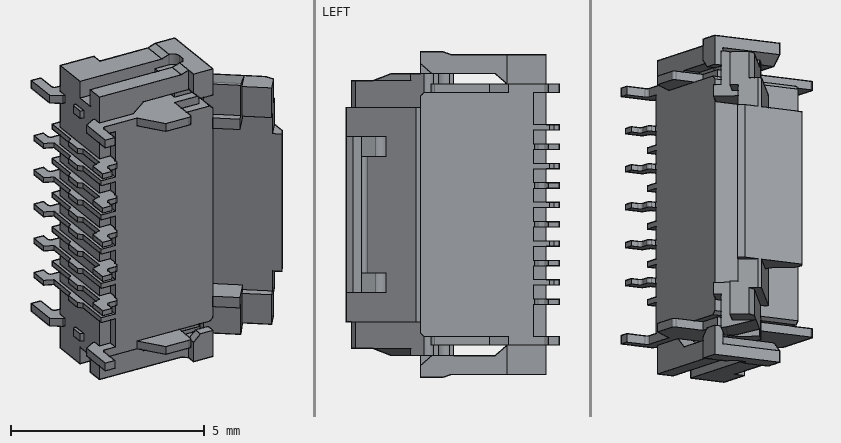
import cadquery as cq
import math


half_width = 1.26
core_half_width = 1.01
front_y = 0.345
shell_front_y = 0.67
back_y = 3.59
shell_half_height = 3.14
shell_chamfer = 0.09

tab_thickness = 0.23
tab_reach = 1.9
tab_left_top_y = 3.31
tab_right_top_y = 2.59
tab_wing_low_y = 1.81
tab_waist_y = 1.32
tab_corner = 0.08
foot_height = 0.285
foot_fillet = 0.08
tab_root_x = 0.765
tab_sole_x = 0.95
core_half_height = shell_half_height + tab_thickness

arm_left_x = -0.705
arm_root_y = 1.35
arm_under_z = 3.64
arm_top_z = 4.125
arm_end_z = 4.2
arm_relief_y = 1.66
hook_start_y = 3.01
hook_ramp_y = 2.79
hook_relief_y = 3.29
hook_relief_z = 3.9
tooth_tip_z = 3.435

slot_left_x = 0.01
slot_width = 0.53
slot_right_x = slot_left_x + slot_width
slot_end_y = 3.2
slot_end_radius = 0.19
stop_front_y = 2.58
stop_top_z = 3.9
slit_front_y = 2.3
slit_depth = 0.11

contact_count = 10
same_side_pitch = 1.0
contact_pitch = same_side_pitch / 2
contact_thickness = 0.14
contact_face_y = 0.25
contact_root_y = 0.76
contact_reach = 1.76
contact_sole_x = 1.26
contact_sole_root_x = 1.16
shoulder_x = 1.46
shoulder_y = 0.65
shoulder_radius = 0.09
bump_y = 0.14
bump_root_x = 0.33
bump_tip_x = 0.23

peg_root_half_width = 0.22
peg_tip_half_width = 0.17
peg_height = 0.22
peg_z = shell_half_height + tab_thickness / 2

lean_angle = 36.0
hinge_x = -0.29
hinge_y = 3.7
plate_length = 2.29
plate_thickness = 0.605
plate_half_height = 2.76
plate_bottom = -0.5
wing_inner = 0.2
wing_outer = 0.815
wing_inner_z = 2.59
wing_half_height = 3.45
wing_chamfer_across = 0.12
wing_chamfer_along = 0.22
base_length = 1.52
base_outer = 1.1
base_half_height = arm_under_z
ramp_start = 0.32
ramp_outer = 1.0
rib_outer = 1.3
rib_inner_z = 2.45
rib_outer_z = 2.755

shoulder_top_y = back_y - shell_chamfer
cam_shoulder_x = -0.185
cam_neck_x = -0.08
cam_mid_y = 3.38
cam_neck_top_y = 3.25
cam_neck_low_y = 3.12
lobe_x = -0.135
lobe_mid_y = 2.98
lobe_low_y = 2.84
cam_low_y = 2.73
cam_right_x = 0.76

grip_half_height = 2.01
grip_cheek = 0.5
grip_top_y = 5.5
grip_bevel_x = 0.08
grip_bevel_y = 0.185
grip_low_y = 5.1
grip_root_x = 0.18
grip_root_y = 4.75
grip_bend_x = 0.26
grip_bend_y = 4.645
grip_meet_along = 0.97
grip_tip_along = 2.54
grip_tip_bevel_x = 1.52
pocket_fillet = 0.09


def block(x0, x1, y0, y1, z0, z1):
    return cq.Workplane("XY").box(x1 - x0, y1 - y0, z1 - z0, centered=False).translate((x0, y0, z0))


def slab(points, z0, z1):
    """Plate with an XY outline, reaching from z0 to z1."""
    return cq.Workplane("XY").workplane(offset=z0).polyline(points).close().extrude(z1 - z0)


def side_prism(points, x0, x1):
    """Prism with a YZ outline, reaching from x0 to x1."""
    return cq.Workplane("YZ").workplane(offset=x0).polyline(points).close().extrude(x1 - x0)


def both_ends(shape):
    return shape.union(shape.mirror("XY"))


def round_upright_edge(shape, point, radius):
    """Fillet the one edge along Z that lies nearest to the point."""
    nearest = cq.selectors.NearestToPointSelector(point)
    return shape.edges("|Z").edges(nearest).fillet(radius)


def make_housing():
    shell = block(-half_width, half_width, shell_front_y, back_y, -shell_half_height, shell_half_height)
    shell = shell.faces(">Y").edges("|X").chamfer(shell_chamfer)
    core = block(
        -core_half_width, core_half_width, front_y, tab_left_top_y, -core_half_height, core_half_height
    )
    return shell.union(core)


def make_tab(top_y):
    """Left-hand solder tab at the upper end of the housing."""
    outline = [
        (-core_half_width, top_y),
        (-tab_reach, top_y),
        (-tab_reach, tab_wing_low_y),
        (-half_width, tab_waist_y),
        (-half_width, foot_height),
        (-tab_reach, foot_height),
        (-tab_reach, 0),
        (-tab_sole_x, 0),
        (-tab_root_x, foot_height),
        (-tab_root_x, tab_waist_y),
        (-core_half_width, tab_waist_y),
    ]
    tab = slab(outline, shell_half_height, core_half_height)
    mid_z = shell_half_height + tab_thickness / 2
    tab = round_upright_edge(tab, (-tab_reach, top_y, mid_z), tab_corner)
    return round_upright_edge(tab, (-half_width, foot_height, mid_z), foot_fillet)


def make_tabs():
    left = make_tab(tab_left_top_y)
    right = make_tab(tab_right_top_y).mirror("YZ")
    return both_ends(left.union(right))


def make_arms():
    root = block(-core_half_width, core_half_width, front_y, arm_root_y, shell_half_height, arm_top_z)
    arm_outline = [
        (arm_root_y, core_half_height),
        (arm_relief_y, arm_under_z),
        (hook_relief_y, arm_under_z),
        (back_y, hook_relief_z),
        (back_y, arm_end_z),
        (hook_start_y, arm_end_z),
        (hook_ramp_y, arm_top_z),
        (arm_root_y, arm_top_z),
    ]
    arm = side_prism(arm_outline, arm_left_x, core_half_width)
    tooth_outline = [
        (hook_start_y, arm_end_z),
        (hook_start_y, arm_under_z),
        (hook_start_y + arm_under_z - tooth_tip_z, tooth_tip_z),
        (back_y, tooth_tip_z),
        (back_y, arm_end_z),
    ]
    tooth = side_prism(tooth_outline, core_half_width, half_width)

    slot = block(slot_left_x, slot_right_x, 0, slot_end_y, arm_under_z, arm_end_z)
    slot = slot.edges("|Z and >Y").fillet(slot_end_radius)
    clearance = block(slot_left_x, slot_right_x, arm_root_y, stop_front_y, core_half_height, arm_under_z)
    stop = block(slot_left_x, slot_right_x, stop_front_y, slot_end_y, arm_under_z, stop_top_z)
    return both_ends(root.union(arm).union(tooth).cut(slot).cut(clearance).union(stop))


def make_contact(z):
    """Contact whose solder foot points to the left, centred at height z."""
    outline = [
        (-half_width, contact_root_y),
        (-half_width, shoulder_y),
        (-shoulder_x, shoulder_y),
        (-shoulder_x, foot_height),
        (-contact_reach, foot_height),
        (-contact_reach, 0),
        (-contact_sole_x, 0),
        (-contact_sole_root_x, contact_face_y),
        (-bump_root_x, contact_face_y),
        (-bump_tip_x, bump_y),
        (bump_tip_x, bump_y),
        (bump_root_x, contact_face_y),
        (half_width, contact_face_y),
        (half_width, contact_root_y),
    ]
    contact = slab(outline, z - contact_thickness / 2, z + contact_thickness / 2)
    for corner_y in (shoulder_y, foot_height):
        contact = round_upright_edge(contact, (-shoulder_x, corner_y, z), shoulder_radius)
    return contact


def add_contacts(body):
    top_z = contact_pitch * (contact_count - 1) / 2
    for index in range(contact_count):
        contact = make_contact(top_z - index * contact_pitch)
        if index % 2 == 0:
            contact = contact.mirror("YZ")
        body = body.union(contact)
    return body


def make_pegs():
    outline = [
        (-peg_root_half_width, front_y),
        (-peg_tip_half_width, contact_face_y),
        (peg_tip_half_width, contact_face_y),
        (peg_root_half_width, front_y),
    ]
    return both_ends(slab(outline, peg_z - peg_height / 2, peg_z + peg_height / 2))


def lean(shape):
    """Turn a straight actuator piece to its open position at the hinge line."""
    return shape.rotate((0, 0, 0), (0, 0, 1), -lean_angle).translate((hinge_x, hinge_y, 0))


def leaned_point(across, along):
    angle = math.radians(lean_angle)
    return (
        hinge_x + across * math.cos(angle) + along * math.sin(angle),
        hinge_y - across * math.sin(angle) + along * math.cos(angle),
    )


def make_knuckle():
    return (
        cq.Workplane("XY")
        .workplane(offset=-base_half_height)
        .moveTo(cam_shoulder_x, shoulder_top_y)
        .threePointArc((cam_shoulder_x, cam_mid_y), (cam_neck_x, cam_neck_top_y))
        .lineTo(cam_neck_x, cam_neck_low_y)
        .threePointArc((lobe_x, lobe_mid_y), (cam_neck_x, lobe_low_y))
        .lineTo(cam_neck_x, cam_low_y)
        .lineTo(cam_right_x, cam_low_y)
        .lineTo(cam_right_x, shoulder_top_y)
        .close()
        .extrude(2 * base_half_height)
    )


def make_actuator():
    plate = block(0, plate_thickness, plate_bottom, plate_length, -plate_half_height, plate_half_height)

    wing_outline = [
        (wing_inner, plate_bottom),
        (wing_inner, plate_length - wing_chamfer_along),
        (wing_inner + wing_chamfer_across, plate_length),
        (wing_outer, plate_length),
        (wing_outer, plate_bottom),
    ]
    wings = both_ends(slab(wing_outline, wing_inner_z, wing_half_height))

    bases = both_ends(block(wing_inner, base_outer, plate_bottom, base_length, rib_inner_z, base_half_height))
    ramp = (
        cq.Workplane("XZ", origin=(0, ramp_start, 0))
        .polyline(
            [(wing_inner, wing_half_height), (ramp_outer, base_half_height), (wing_inner, base_half_height)]
        )
        .close()
        .extrude(ramp_start - base_length)
    )
    bases = bases.cut(both_ends(ramp))
    ribs = both_ends(block(base_outer, rib_outer, plate_bottom, base_length, rib_inner_z, rib_outer_z))

    leaf = lean(plate.union(wings).union(bases).union(ribs))
    leaf_right_x, _ = leaned_point(wing_outer, plate_length)
    leaf = leaf.intersect(
        block(hinge_x, leaf_right_x, shoulder_top_y, grip_top_y, -base_half_height, base_half_height)
    )
    return leaf.union(make_knuckle())


def make_grip():
    straight_edges = [
        (grip_root_x, grip_root_y),
        (hinge_x, grip_low_y),
        (hinge_x, grip_top_y - grip_bevel_y),
        (hinge_x + grip_bevel_x, grip_top_y),
        (grip_tip_bevel_x, grip_top_y),
        leaned_point(plate_thickness, grip_tip_along),
        leaned_point(plate_thickness, grip_meet_along),
        leaned_point(0, grip_meet_along),
    ]
    grip = (
        cq.Workplane("XY")
        .workplane(offset=-grip_half_height)
        .polyline(straight_edges)
        .threePointArc((grip_bend_x, grip_bend_y), (grip_root_x, grip_root_y))
        .close()
        .extrude(2 * grip_half_height)
    )

    plate_face_along = (grip_low_y - hinge_y) / math.cos(math.radians(lean_angle))
    pocket_corner = leaned_point(0, plate_face_along)
    pocket_outline = [
        (hinge_x, grip_low_y),
        pocket_corner,
        leaned_point(0, 0),
    ]
    pocket_half_height = grip_half_height - grip_cheek
    pocket = slab(pocket_outline, -pocket_half_height, pocket_half_height)
    pocket = round_upright_edge(pocket, (*pocket_corner, 0), pocket_fillet)
    return grip.cut(pocket)


def cut_slit(body):
    """Cut the narrow opening that runs through the housing between the arm slots."""
    slit_back_y = slit_front_y + slit_depth
    return body.cut(
        block(slot_left_x, slot_right_x, slit_front_y, slit_back_y, -core_half_height, core_half_height)
    )


connector = make_housing().union(make_tabs()).union(make_arms())
connector = cut_slit(connector)
connector = add_contacts(connector).union(make_pegs())
result = connector.union(make_actuator()).union(make_grip())